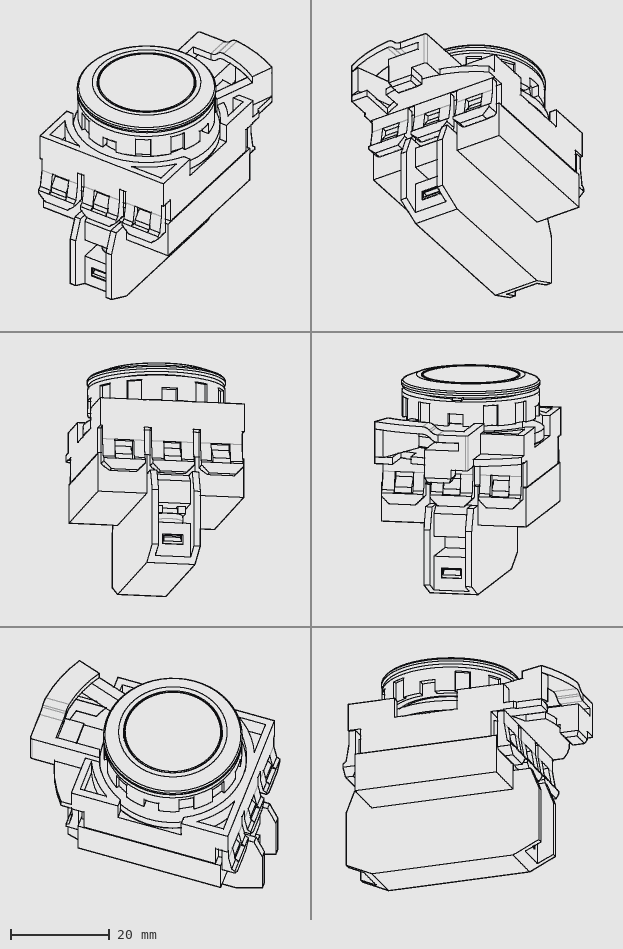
import cadquery as cq
import math


BEZEL_TOP = 42.4
NECK_TOP = 40.0
NUT_TOP = 39.2
NUT_BOTTOM = 34.15
RIM_TOP = 33.35
DISC_TOP = 31.6
DECK = 29.22
TAB_BOTTOM = 27.8
OVERHANG_BOTTOM = 27.65
BLOCK_TOP = 22.3

BUTTON_RADIUS = 9.85
BUTTON_CHAMFER = 0.2
BUTTON_DEPTH = 1.5
BEZEL_BORE_RADIUS = 10.0
BEZEL_FACE_RADIUS = 10.95
BEZEL_SHOULDER_RADIUS = 13.75
BEZEL_RADIUS = 14.0
BEVEL_BOTTOM = 41.35
BAND_TOP = 41.0
BAND_BOTTOM = 40.55
NECK_RADIUS = 10.95
BARREL_RADIUS = 10.5
KEY_WIDTH = 1.95
KEY_REACH = 12.55
KEY_HEIGHT = 0.5

NUT_RADIUS = 13.9
SKIRT_THICKNESS = 1.5
GRIP_TOP = 38.4
GRIP_WIDTH = 3.05
GRIP_DEPTH = 0.75
GRIP_COUNT = 12
NOTCH_TOP = 36.65
NOTCH_WIDTH = 3.15
NOTCH_COUNT = 4

DISC_RADIUS = 14.8
DISC_CHAMFER = 0.3
ARM_TOP = 34.95
ARM_LEFT = -5.9
ARM_THICKNESS = 1.9
FLOOR_RIGHT = 3.0
FLOOR_FRONT_TOP = 31.3
FLOOR_TOP = 31.8
FLOOR_STEP_Y = 19.95
LEVER_REACH = 28.5
STRIP_INNER_RADIUS = 23.5
STRIP_TOP = 36.45
STRIP_RISE_ANGLE = 45.0
RISE_START = 0.25
RISE_END = 3.5
TIP_X = 14.25
STRUT_LEAN = 19.3
STRUT_WIDTH = 2.05
FOOT_LEFT = -2.45
FOOT_FRONT = 24.55
FOOT_SHOULDER = 26.05
FOOT_BOTTOM = 25.05
FOOT_SIDE_BEVEL = 0.5
CORNER_FILLET = 0.45

HALF_WIDTH = 14.85
HALF_LENGTH = 16.7
CORE_HALF_LENGTH = 14.0
BORE_RADIUS = 14.9
SIDE_SLOT_WIDTH = 13.5
POCKET_X = 13.4
POCKET_Y = 15.25
POCKET_RADIUS = 16.5
TAB_RADIUS = 24.0
TAB_NOTCH_LEFT = 7.1
TAB_NOTCH_RIGHT = 10.6
TAB_NOTCH_RADIUS = 19.98
TAB_EAR_REACH = 24.6

CLIP_PITCH = 10.1
CLIP_WIDTH = 8.6
CLIP_TAPER_TOP = 24.9
CLIP_TAPER_Y = 17.3
CLIP_TAPER_BOTTOM = 21.2
CLIP_LIP_Y = 18.0
CLIP_LIP_TOP = 20.65
CLIP_BOTTOM = 18.45
CLIP_CORNER = 1.55
CLIP_INNER_CHAMFER = 1.1
WINDOW_GAP = 0.35
WINDOW_WIDTH = 3.55
WINDOW_SILL_Y = 17.05
WINDOW_SILL_TOP = 21.85
WINDOW_BACK_Y = 15.6
WINDOW_BACK_BOTTOM = 23.75

BLOCK_HALF_WIDTH = 15.0
BLOCK_HALF_LENGTH = 15.2
BLOCK_BOTTOM = 14.3
LATCH_WIDTH = 5.9
LATCH_Y = 15.05
LATCH_INNER_TOP = 26.35
LATCH_OUTER_TOP = 26.1
TERMINAL_WIDTH = 9.95
TERMINAL_FACE_Y = BLOCK_HALF_LENGTH + 0.05
TERMINAL_TOP = 18.35
TERMINAL_TOP_Y = 18.95
TERMINAL_END_Y = 20.7
TERMINAL_UPPER_Z = 13.9
TERMINAL_LOWER_Z = 2.6
TERMINAL_BOTTOM_Y = 15.15
CHANNEL_WIDTH = 7.3
CHANNEL_BACK_Y = 17.3
CHANNEL_CHAMFER_Z = 16.75
CAVITY_TOP = 12.05
CAVITY_BOTTOM = 7.95
CAVITY_BACK_Y = 7.4
WIRE_SLOT_WIDTH = 4.15
WIRE_SLOT_TOP = 5.55
WIRE_SLOT_BOTTOM = 3.6
WIRE_SLOT_STEP = 4.2
WIRE_SLOT_FRAME = 0.25
WIRE_SLOT_DEPTH = 1.5

CLIP_INNER_Y = TERMINAL_FACE_Y

SCREW_Y = -11.3
SCREW_RADIUS = 3.15
SCREW_TIP_RADIUS = 2.85
SCREW_BAND_BOTTOM = 9.45
SCREW_TAPER_BOTTOM = 8.4
WASHER_BOTTOM = 10.6
WASHER_WIDTH = 6.3
WASHER_NOTCH_WIDTH = 3.1
WASHER_NOTCH_DEPTH = 0.25
WASHER_MIDDLE_TOP = 11.6
DRIVE_SLOT_WIDTH = 1.0

FAR = 49.2


def box(x0, x1, y0, y1, z0, z1):
    """Box between two opposite corners."""
    return cq.Workplane("XY").box(x1 - x0, y1 - y0, z1 - z0, centered=False).translate((x0, y0, z0))


def cylinder(radius, z0, z1):
    """Cylinder about the button axis."""
    return cq.Workplane("XY", origin=(0, 0, z0)).circle(radius).extrude(z1 - z0)


def prism(points, z0, z1):
    """Vertical prism over an outline of (x, y) points."""
    return cq.Workplane("XY", origin=(0, 0, z0)).polyline(points).close().extrude(z1 - z0)


def side_prism(points, x_centre, width):
    """Prism along X over an outline of (y, z) points."""
    return cq.Workplane("YZ", origin=(x_centre, 0, 0)).polyline(points).close().extrude(width / 2, both=True)


def revolved(points):
    """Turned shape about the button axis from (radius, z) points."""
    return cq.Workplane("XZ").polyline(points).close().revolve(360, (0, 0), (0, 1))


def at_both_ends(shape):
    """The shape together with its mirror image across the XZ plane."""
    return shape.union(shape.mirror("XZ"))


def make_button():
    button = cylinder(BUTTON_RADIUS, BEZEL_TOP - BUTTON_DEPTH, BEZEL_TOP)
    return button.faces(">Z").edges().chamfer(BUTTON_CHAMFER)


def make_bezel():
    bezel = revolved([
        (0, DISC_TOP),
        (BARREL_RADIUS, DISC_TOP),
        (BARREL_RADIUS, NUT_BOTTOM),
        (NECK_RADIUS, NUT_BOTTOM),
        (NECK_RADIUS, NECK_TOP),
        (BEZEL_SHOULDER_RADIUS, NECK_TOP),
        (BEZEL_RADIUS, BAND_BOTTOM),
        (BEZEL_RADIUS, BAND_TOP),
        (BEZEL_SHOULDER_RADIUS, BEVEL_BOTTOM),
        (BEZEL_FACE_RADIUS, BEZEL_TOP),
        (0, BEZEL_TOP),
    ])
    seat = cylinder(BEZEL_BORE_RADIUS, BEZEL_TOP - BUTTON_DEPTH, BEZEL_TOP)
    key = box(-KEY_WIDTH / 2, KEY_WIDTH / 2, BARREL_RADIUS, KEY_REACH, NUT_TOP, NUT_TOP + KEY_HEIGHT)
    return bezel.cut(seat).union(key)


def make_nut():
    nut = cylinder(NUT_RADIUS, NUT_BOTTOM, NUT_TOP)
    nut = nut.cut(cylinder(NUT_RADIUS - SKIRT_THICKNESS, NUT_BOTTOM, GRIP_TOP))
    nut = nut.cut(cylinder(NECK_RADIUS, NUT_BOTTOM, NUT_TOP))
    grip = box(NUT_RADIUS - GRIP_DEPTH, FAR, -GRIP_WIDTH / 2, GRIP_WIDTH / 2, NUT_BOTTOM, GRIP_TOP)
    notch = box(NECK_RADIUS, FAR, -NOTCH_WIDTH / 2, NOTCH_WIDTH / 2, NUT_BOTTOM, NOTCH_TOP)
    grips_per_notch = GRIP_COUNT // NOTCH_COUNT
    for i in range(GRIP_COUNT):
        cutter = notch if i % grips_per_notch == 0 else grip
        nut = nut.cut(cutter.rotate((0, 0, 0), (0, 0, 1), i * 360 / GRIP_COUNT))
    return nut


TIP_Y = math.sqrt(LEVER_REACH**2 - TIP_X**2)
LEAN = math.radians(STRUT_LEAN)
STRUT_RUN = 19.7
STRUT_END = (TIP_X - STRUT_RUN * math.sin(LEAN), TIP_Y - STRUT_RUN * math.cos(LEAN))
STRUT_OFFSET = (-STRUT_WIDTH * math.cos(LEAN), STRUT_WIDTH * math.sin(LEAN))


def lever_sweep(z0, z1):
    """The space that the lever takes up outside the bore."""
    corners = [(ARM_LEFT, 0), (ARM_LEFT, LEVER_REACH), (TIP_X, LEVER_REACH), (TIP_X, TIP_Y), STRUT_END]
    return prism(corners, z0, z1).cut(cylinder(BORE_RADIUS, z0, z1))


def make_strip():
    """Strip of even height: level, then a rise of two arcs and a short slope, then level to the tip."""
    thickness = STRIP_TOP - ARM_TOP
    angle = math.radians(STRIP_RISE_ANGLE)
    run = RISE_END - RISE_START
    radius = (run - thickness / math.tan(angle)) / (2 * math.tan(angle / 2))
    arc_run = radius * math.sin(angle)
    arc_rise = radius * (1 - math.cos(angle))
    half_run = radius * math.sin(angle / 2)
    half_rise = radius * (1 - math.cos(angle / 2))
    side = (
        cq.Workplane("XZ")
        .moveTo(ARM_LEFT + ARM_THICKNESS, ARM_TOP)
        .lineTo(RISE_START, ARM_TOP)
        .threePointArc(
            (RISE_START + half_run, ARM_TOP + half_rise), (RISE_START + arc_run, ARM_TOP + arc_rise)
        )
        .lineTo(RISE_END - arc_run, STRIP_TOP - arc_rise)
        .threePointArc((RISE_END - half_run, STRIP_TOP - half_rise), (RISE_END, STRIP_TOP))
        .lineTo(TIP_X, STRIP_TOP)
        .lineTo(TIP_X, ARM_TOP)
        .lineTo(RISE_END, ARM_TOP)
        .threePointArc((RISE_END - half_run, ARM_TOP - half_rise), (RISE_END - arc_run, ARM_TOP - arc_rise))
        .lineTo(RISE_START + arc_run, ARM_TOP - thickness + arc_rise)
        .threePointArc(
            (RISE_START + half_run, ARM_TOP - thickness + half_rise), (RISE_START, ARM_TOP - thickness)
        )
        .lineTo(ARM_LEFT + ARM_THICKNESS, ARM_TOP - thickness)
        .close()
        .extrude(-FAR)
    )
    outside = cylinder(LEVER_REACH, DECK, STRIP_TOP).union(
        box(ARM_LEFT, RISE_START, 0, LEVER_REACH, DECK, STRIP_TOP)
    )
    inside = cylinder(STRIP_INNER_RADIUS, DECK, STRIP_TOP).union(
        box(ARM_LEFT, RISE_START, 0, STRIP_INNER_RADIUS, DECK, STRIP_TOP)
    )
    beyond_strut = prism([(TIP_X, TIP_Y), (FAR, TIP_Y), (FAR, 0), STRUT_END], DECK, STRIP_TOP)
    return side.intersect(outside).cut(inside).cut(beyond_strut)


def make_foot():
    """Foot under the main block, bevelled at its inner end and its two sides."""
    bevel = FOOT_SHOULDER - FOOT_BOTTOM
    along_y = side_prism(
        [
            (FOOT_FRONT, TAB_BOTTOM),
            (LEVER_REACH, TAB_BOTTOM),
            (LEVER_REACH, FOOT_SHOULDER),
            (LEVER_REACH - CORNER_FILLET, FOOT_BOTTOM),
            (FOOT_FRONT + bevel, FOOT_BOTTOM),
            (FOOT_FRONT, FOOT_SHOULDER),
        ],
        (FOOT_LEFT + FLOOR_RIGHT) / 2,
        FLOOR_RIGHT - FOOT_LEFT,
    )
    along_x = (
        cq.Workplane("XZ")
        .moveTo(FOOT_LEFT, TAB_BOTTOM)
        .lineTo(FLOOR_RIGHT, TAB_BOTTOM)
        .lineTo(FLOOR_RIGHT, FOOT_SHOULDER)
        .lineTo(FLOOR_RIGHT - FOOT_SIDE_BEVEL, FOOT_BOTTOM)
        .lineTo(FOOT_LEFT + FOOT_SIDE_BEVEL, FOOT_BOTTOM)
        .lineTo(FOOT_LEFT, FOOT_SHOULDER)
        .close()
        .extrude(-FAR)
    )
    return along_y.intersect(along_x)


def make_lever():
    disc = cylinder(DISC_RADIUS, DECK, DISC_TOP).faces("<Z").edges().chamfer(DISC_CHAMFER)

    block = box(ARM_LEFT, FLOOR_RIGHT, 0, LEVER_REACH, DECK, ARM_TOP)
    overhang = box(ARM_LEFT, FLOOR_RIGHT, 0, LEVER_REACH, TAB_BOTTOM, DECK)
    block = block.union(overhang.cut(cylinder(TAB_RADIUS, TAB_BOTTOM, DECK)))
    block = block.edges("|Z and <X and >Y").fillet(CORNER_FILLET)
    floor_left = ARM_LEFT + ARM_THICKNESS
    block = block.cut(box(floor_left, FAR, 0, FAR, FLOOR_TOP, ARM_TOP))
    block = block.cut(box(floor_left, FAR, 0, FLOOR_STEP_Y, FLOOR_FRONT_TOP, FLOOR_TOP))

    strut = prism(
        [
            (TIP_X, TIP_Y),
            STRUT_END,
            (STRUT_END[0] + STRUT_OFFSET[0], STRUT_END[1] + STRUT_OFFSET[1]),
            (TIP_X + STRUT_OFFSET[0], TIP_Y + STRUT_OFFSET[1]),
        ],
        DECK,
        ARM_TOP,
    )
    strut = strut.intersect(cylinder(LEVER_REACH, DECK, ARM_TOP))

    arm = block.union(strut).cut(cylinder(DISC_RADIUS, DECK, ARM_TOP))
    return arm.union(make_strip()).union(make_foot()).union(disc)


def make_clip(x_centre):
    """Snap clip at the -Y side with a ramped window in its tapered face.

    In the outer clips a narrow gap separates the ramp from the window's wall nearest the middle.
    """
    clip = side_prism(
        [
            (-CLIP_INNER_Y, OVERHANG_BOTTOM),
            (-HALF_LENGTH, OVERHANG_BOTTOM),
            (-HALF_LENGTH, CLIP_TAPER_TOP),
            (-CLIP_TAPER_Y, CLIP_TAPER_BOTTOM),
            (-CLIP_LIP_Y, CLIP_LIP_TOP),
            (-CLIP_LIP_Y, CLIP_BOTTOM),
            (-CLIP_INNER_Y - CLIP_INNER_CHAMFER, CLIP_BOTTOM),
            (-CLIP_INNER_Y, CLIP_BOTTOM + CLIP_INNER_CHAMFER),
        ],
        x_centre,
        CLIP_WIDTH,
    )
    half = CLIP_WIDTH / 2
    shield = (
        cq.Workplane("XZ", origin=(x_centre, 0, 0))
        .moveTo(-half, OVERHANG_BOTTOM)
        .lineTo(half, OVERHANG_BOTTOM)
        .lineTo(half, CLIP_BOTTOM + CLIP_CORNER)
        .lineTo(half - CLIP_CORNER, CLIP_BOTTOM)
        .lineTo(CLIP_CORNER - half, CLIP_BOTTOM)
        .lineTo(-half, CLIP_BOTTOM + CLIP_CORNER)
        .close()
        .extrude(FAR)
    )
    window = side_prism(
        [
            (-FAR, CLIP_LIP_TOP),
            (-WINDOW_SILL_Y, CLIP_LIP_TOP),
            (-WINDOW_SILL_Y, WINDOW_SILL_TOP),
            (-WINDOW_BACK_Y, WINDOW_BACK_BOTTOM),
            (-WINDOW_BACK_Y, CLIP_TAPER_TOP),
            (-FAR, CLIP_TAPER_TOP),
        ],
        x_centre,
        WINDOW_WIDTH,
    )
    if x_centre != 0:
        gap_centre = x_centre - math.copysign((WINDOW_WIDTH + WINDOW_GAP) / 2, x_centre)
        half_gap = WINDOW_GAP / 2
        window = window.union(
            box(
                gap_centre - half_gap,
                gap_centre + half_gap,
                -FAR,
                -WINDOW_BACK_Y,
                CLIP_LIP_TOP,
                CLIP_TAPER_TOP,
            )
        )
    return clip.intersect(shield).cut(window)


def make_tab():
    """Rounded tab behind the housing, notched, with an ear under the lever tip."""
    height = (TAB_BOTTOM, DECK)
    tab = cylinder(TAB_RADIUS, *height)
    tab = tab.intersect(box(-HALF_WIDTH, HALF_WIDTH, BORE_RADIUS, FAR, *height))
    notch = box(TAB_NOTCH_LEFT, TAB_NOTCH_RIGHT, 0, FAR, *height)
    tab = tab.cut(notch.cut(cylinder(TAB_NOTCH_RADIUS, *height)))
    return tab.union(box(TAB_NOTCH_RIGHT, TIP_X, HALF_LENGTH, TAB_EAR_REACH, *height))


def make_housing():
    housing = box(-HALF_WIDTH, HALF_WIDTH, -HALF_LENGTH, HALF_LENGTH, OVERHANG_BOTTOM, RIM_TOP)
    corner_pockets = box(-POCKET_X, POCKET_X, -POCKET_Y, POCKET_Y, DECK, RIM_TOP)
    housing = housing.cut(corner_pockets.cut(cylinder(POCKET_RADIUS, DECK, RIM_TOP)))
    housing = housing.cut(cylinder(BORE_RADIUS, DECK, RIM_TOP))
    housing = housing.cut(box(-FAR, FAR, -SIDE_SLOT_WIDTH / 2, SIDE_SLOT_WIDTH / 2, DECK, RIM_TOP))
    housing = housing.cut(lever_sweep(DECK, RIM_TOP))
    housing = housing.union(
        box(-HALF_WIDTH, HALF_WIDTH, -CORE_HALF_LENGTH, CORE_HALF_LENGTH, BLOCK_TOP, OVERHANG_BOTTOM)
    )
    for i in (-1, 0, 1):
        housing = housing.union(at_both_ends(make_clip(i * CLIP_PITCH)))
    return housing.union(make_tab())


def make_terminal_cutter():
    """Space between the terminal walls at the -Y end: channel, screw cavity and wire slot."""
    channel = side_prism(
        [
            (-TERMINAL_FACE_Y, TERMINAL_TOP),
            (-CHANNEL_BACK_Y, CHANNEL_CHAMFER_Z),
            (-CHANNEL_BACK_Y, 0),
            (-FAR, 0),
            (-FAR, TERMINAL_TOP),
        ],
        0,
        CHANNEL_WIDTH,
    )
    half = CHANNEL_WIDTH / 2
    cavity = box(-half, half, -CHANNEL_BACK_Y, -CAVITY_BACK_Y, CAVITY_BOTTOM, CAVITY_TOP)
    half_slot = WIRE_SLOT_WIDTH / 2
    frame_back = WIRE_SLOT_FRAME - CHANNEL_BACK_Y
    frame = box(-half_slot, half_slot, -CHANNEL_BACK_Y, frame_back, WIRE_SLOT_BOTTOM, WIRE_SLOT_TOP)
    ramped_slot = side_prism(
        [
            (frame_back, WIRE_SLOT_STEP),
            (WIRE_SLOT_DEPTH - CHANNEL_BACK_Y, WIRE_SLOT_TOP - WIRE_SLOT_FRAME),
            (frame_back, WIRE_SLOT_TOP - WIRE_SLOT_FRAME),
        ],
        0,
        WIRE_SLOT_WIDTH - 2 * WIRE_SLOT_FRAME,
    )
    return channel.union(cavity).union(frame).union(ramped_slot)


def make_contact_block():
    block = box(
        -BLOCK_HALF_WIDTH, BLOCK_HALF_WIDTH, -BLOCK_HALF_LENGTH, BLOCK_HALF_LENGTH, BLOCK_BOTTOM, BLOCK_TOP
    )
    half_outline = [
        (TERMINAL_FACE_Y, BLOCK_TOP),
        (TERMINAL_FACE_Y, TERMINAL_TOP),
        (TERMINAL_TOP_Y, TERMINAL_TOP),
        (TERMINAL_END_Y, TERMINAL_UPPER_Z),
        (TERMINAL_END_Y, TERMINAL_LOWER_Z),
        (TERMINAL_BOTTOM_Y, 0),
    ]
    mirrored_outline = [(-y, z) for y, z in reversed(half_outline)]
    terminal = side_prism(half_outline + mirrored_outline, 0, TERMINAL_WIDTH)
    terminal = terminal.cut(at_both_ends(make_terminal_cutter()))
    block = block.union(terminal)
    latch_outline = [
        (-CORE_HALF_LENGTH, BLOCK_TOP),
        (-LATCH_Y, BLOCK_TOP),
        (-LATCH_Y, LATCH_OUTER_TOP),
        (-CORE_HALF_LENGTH, LATCH_INNER_TOP),
    ]
    for i in (-1, 0, 1):
        block = block.union(at_both_ends(side_prism(latch_outline, i * CLIP_PITCH, LATCH_WIDTH)))
    return block


def make_screw():
    """Terminal screw with its slotted head downwards and a square washer, notched and channelled, on top."""
    head = revolved([
        (0, CAVITY_BOTTOM),
        (SCREW_TIP_RADIUS, CAVITY_BOTTOM),
        (SCREW_TIP_RADIUS, SCREW_TAPER_BOTTOM),
        (SCREW_RADIUS, SCREW_BAND_BOTTOM),
        (SCREW_RADIUS, WASHER_BOTTOM),
        (0, WASHER_BOTTOM),
    ])
    half_slot = DRIVE_SLOT_WIDTH / 2
    head = head.cut(box(-half_slot, half_slot, -FAR, FAR, CAVITY_BOTTOM, SCREW_TAPER_BOTTOM))
    half = WASHER_WIDTH / 2
    half_notch = WASHER_NOTCH_WIDTH / 2
    washer = box(-half, half, -half, half, WASHER_BOTTOM, CAVITY_TOP)
    washer = washer.cut(
        box(-half_notch, half_notch, -half, WASHER_NOTCH_DEPTH - half, WASHER_BOTTOM, CAVITY_TOP)
    )
    washer = washer.cut(box(-half_notch, half_notch, -half, half, WASHER_MIDDLE_TOP, CAVITY_TOP))
    return head.union(washer).translate((0, SCREW_Y, 0))


button = make_button()
bezel = make_bezel()
nut = make_nut()
lever = make_lever()
housing = make_housing()
contact_block = make_contact_block()
screw = make_screw()

result = cq.Compound.makeCompound([
    button.solids().val(),
    bezel.solids().val(),
    nut.solids().val(),
    lever.solids().val(),
    housing.solids().val(),
    contact_block.solids().val(),
    screw.solids().val(),
])